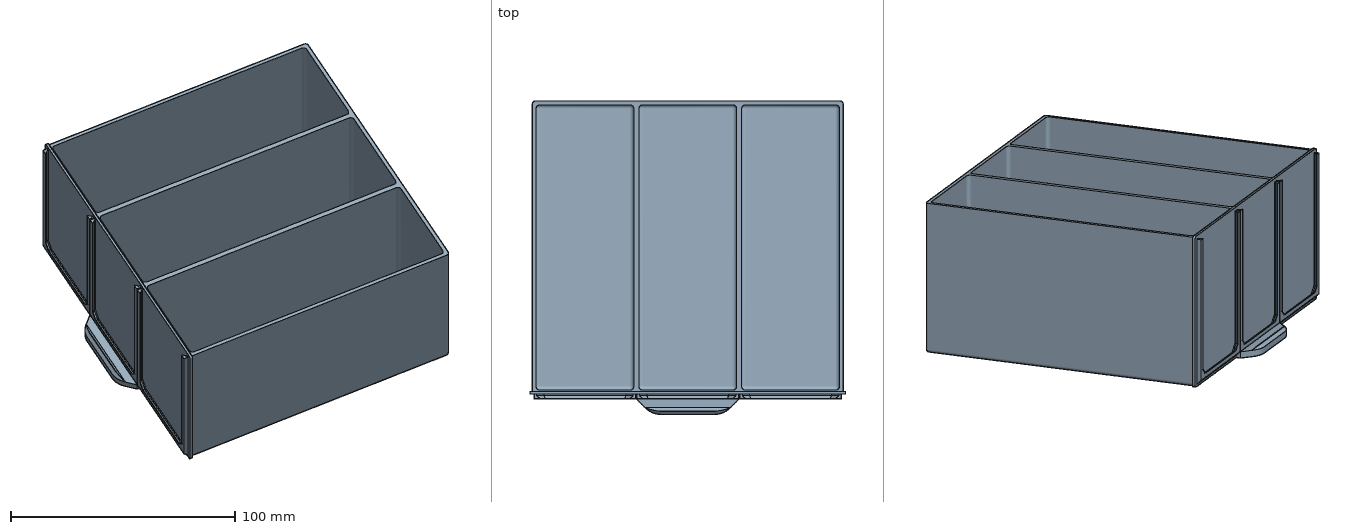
import cadquery as cq
import math

compartment_count = 3
compartment_width = 43.6
divider = 2.2
side_wall = 1.7
end_wall = 1.8
floor = 1.7
inner_fillet = 1.75
outer_fillet = 1.5

front_width = 140.62
front_height = 70.58
front_thickness = 1.3
front_corner_radius = 1.2
front_rise = 0.6

overall_depth = 139.78

frame_gap = 0.6
frame_depth = 2.1
frame_top_drop = 1.65
frame_base = 1.05
frame_lip = 2.4
frame_lip_thickness = 0.2
slot_depth = 0.6
frame_corner = 2.5
opening_base = 5.1

handle_reach = 6.98
handle_thickness = 3.0
handle_corner_radius = 10.0
ridge_height = 1.45
ridge_width = 3.1

tray_depth = overall_depth - frame_depth - handle_reach
pitch = compartment_width + divider
tray_width = compartment_count * compartment_width + (compartment_count - 1) * divider + 2 * side_wall
tray_height = front_height - front_rise
panel_face = 0.0
frame_face = panel_face - frame_depth
handle_tip = frame_face - handle_reach
frame_width = pitch - frame_gap
frame_top = front_height - frame_top_drop
centers = [(i - (compartment_count - 1) / 2) * pitch for i in range(compartment_count)]


def upright_box(width, depth, height, x, y_front, z):
    """Box centred on x, starting at y_front and z."""
    return cq.Workplane("XY").box(width, depth, height, centered=(True, False, False)).translate((x, y_front, z))


def make_tray():
    """Open tray with rounded back corners and bottom edges."""
    tray = upright_box(tray_width, tray_depth, tray_height, 0, panel_face, 0)
    tray = tray.edges("|Z and >Y").fillet(outer_fillet)
    return tray.faces("<Z").edges("not <Y").fillet(outer_fillet)


def make_front_panel():
    """Front panel, slightly larger than the tray, with rounded corners."""
    panel = upright_box(front_width, front_thickness, front_height, 0, panel_face, 0)
    return panel.edges("|Y").fillet(front_corner_radius)


def make_compartment(x):
    """Compartment void with rounded corners and floor edges."""
    depth = tray_depth - 2 * end_wall
    void = upright_box(compartment_width, depth, front_height, x, panel_face + end_wall, floor)
    return void.edges("|Z or <Z").fillet(inner_fillet)


def opening_section(y, margin):
    """U-shaped outline of the label opening, widened by margin on its sides and base."""
    half = frame_width / 2 - frame_lip + margin
    base = opening_base - margin
    corner = frame_corner + margin * (2 - math.sqrt(2))
    points = [
        (-half, front_height),
        (-half, base + corner),
        (-half + corner, base),
        (half - corner, base),
        (half, base + corner),
        (half, front_height),
    ]
    return cq.Workplane("XZ", origin=(0, y, 0)).polyline(points).close()


def make_label_frame(x):
    """Label holder: undercut U-shaped rim, open at the top, with a sloping underside."""
    slope = frame_depth - frame_lip_thickness - slot_depth
    profile = [
        (panel_face, frame_base),
        (frame_face, frame_base + frame_depth),
        (frame_face, frame_top),
        (panel_face, frame_top),
    ]
    frame = cq.Workplane("YZ", origin=(-frame_width / 2, 0, 0)).polyline(profile).close().extrude(frame_width)
    frame = frame.cut(opening_section(panel_face, 0).extrude(frame_depth))
    frame = frame.cut(opening_section(panel_face, slope).extrude(slot_depth))
    slot_front = panel_face - slot_depth
    back_edge = opening_section(slot_front, slope).wires().val()
    front_edge = opening_section(slot_front - slope, 0).wires().val()
    frame = frame.cut(cq.Workplane(cq.Solid.makeLoft([back_edge, front_edge], True)))
    return frame.translate((x, 0, 0))


def make_handle():
    """Trapezoidal pull with rounded corners and a bevelled ridge along its tip."""
    root_half = pitch / 2
    tip_half = root_half - handle_reach
    outline = [
        (-root_half, panel_face),
        (-root_half, frame_face),
        (-tip_half, handle_tip),
        (tip_half, handle_tip),
        (root_half, frame_face),
        (root_half, panel_face),
    ]
    ridge_top = handle_thickness + ridge_height
    handle = cq.Workplane("XY").polyline(outline).close().extrude(ridge_top)
    handle = handle.edges("|Z and <Y").fillet(handle_corner_radius)
    handle = handle.faces(">Z").edges("not >Y").chamfer(ridge_height)
    ridge_back = handle_tip + ridge_width
    behind_ridge = [
        (ridge_back, handle_thickness),
        (ridge_back - ridge_height, ridge_top),
        (panel_face, ridge_top),
        (panel_face, handle_thickness),
    ]
    relief = cq.Workplane("YZ").polyline(behind_ridge).close().extrude(pitch, both=True)
    return handle.cut(relief)


result = make_tray().union(make_front_panel())
for center in centers:
    result = result.cut(make_compartment(center))
    result = result.union(make_label_frame(center))
result = result.union(make_handle()).solids()